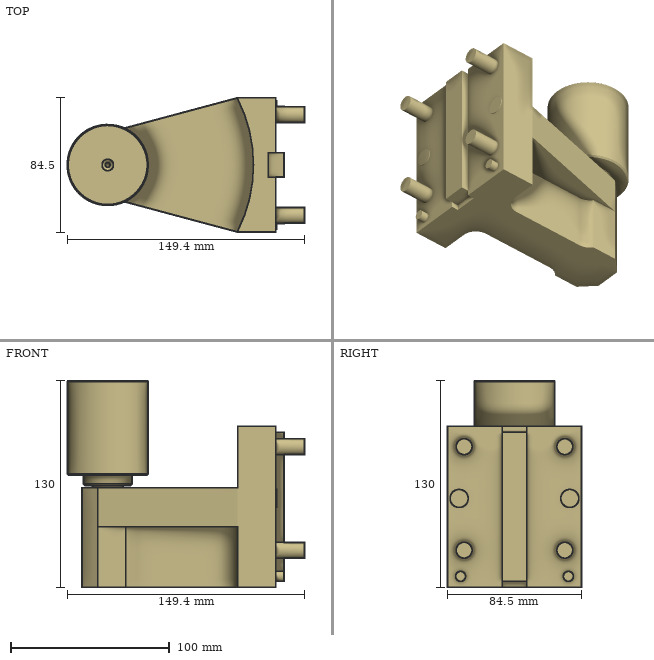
import cadquery as cq
import math

overall_length = 149.4
overall_height = 130.0

plate_width = 84.5
plate_front_x = 107.3
plate_back_x = 131.3
plate_height = 101.3
recess_radius = 91.7

arm_front_x = 9.3
arm_top_z = 62.7
arm_underside_z = 38.0
arm_flare_angle = 15.0
foot_back_x = 36.9
foot_half_width = 18.7
foot_chamfer = 9.9

web_half_width = 14.6
web_fillet = 10.0

knob_diameter = 51.0
knob_radius = knob_diameter / 2
knob_axis_x = knob_radius
knob_bottom_z = 70.4
knob_top_chamfer = 0.6
knob_bottom_chamfer = 1.0
collar_diameter = 30.6
collar_radius = collar_diameter / 2
collar_bottom_z = 63.8
collar_chamfer = 1.2
neck_radius = 9.7

centre_mouth_radius = 3.6
centre_bore_radius = 1.5
centre_bore_depth = 7.5
centre_mouth_curve = 4.2
drill_half_angle = 59.0

key_width = 15.4
key_front_x = 126.5
key_back_x = 136.4
key_end_gap = 3.7

pin_diameter = 10.0
pin_offset_y = 31.7
pin_heights = (23.3, 88.5)
dowel_radius = 3.1
dowel_offset_y = 33.9
dowel_z = 6.9
pad_radius = 5.7
pad_offset_y = 34.8
pad_z = 55.9
pad_thickness = 0.5


def box(x_start, x_end, width, z_start, z_end):
    """Block centred on Y = 0."""
    return (
        cq.Workplane("XY")
        .box(x_end - x_start, width, z_end - z_start, centered=(False, True, False))
        .translate((x_start, 0, z_start))
    )


def back_cylinder(radius, y, z, end_x):
    """Cylinder along X, from the back of the plate to end_x."""
    return (
        cq.Workplane("YZ", origin=(plate_back_x, y, z))
        .circle(radius)
        .extrude(end_x - plate_back_x)
    )


def make_plate():
    plate = box(plate_front_x, plate_back_x, plate_width, 0, plate_height)
    recess = (
        cq.Workplane("XY", origin=(knob_axis_x, 0, arm_top_z))
        .circle(recess_radius)
        .extrude(plate_height - arm_top_z)
    )
    slot = box(key_front_x, plate_back_x, key_width, 0, plate_height)
    key = box(key_front_x, key_back_x, key_width, key_end_gap, plate_height - key_end_gap)
    return plate.cut(recess).cut(slot).union(key)


def make_arm():
    shoulder_x = arm_front_x + foot_chamfer
    nose_half_width = foot_half_width - foot_chamfer
    flare = (plate_front_x - shoulder_x) * math.tan(math.radians(arm_flare_angle))
    root_half_width = min(foot_half_width + flare, plate_width / 2)
    return (
        cq.Workplane("XY", origin=(0, 0, arm_underside_z))
        .moveTo(arm_front_x, -nose_half_width)
        .lineTo(shoulder_x, -foot_half_width)
        .lineTo(plate_front_x, -root_half_width)
        .lineTo(plate_front_x, root_half_width)
        .lineTo(shoulder_x, foot_half_width)
        .lineTo(arm_front_x, nose_half_width)
        .close()
        .extrude(arm_top_z - arm_underside_z)
    )


def make_support():
    """Foot and web below the arm, hollowed on both sides by round-cornered pockets."""
    foot = (
        box(arm_front_x, plate_front_x, 2 * foot_half_width, 0, arm_underside_z)
        .edges("|Z and <X")
        .chamfer(foot_chamfer)
    )
    root_width = 2 * (web_half_width + web_fillet)
    root = box(plate_front_x - web_fillet, plate_front_x, root_width, 0, arm_underside_z)
    support = foot.union(root)

    fillet_centre_y = web_half_width + web_fillet
    arc_run = math.sqrt(web_fillet**2 - (fillet_centre_y - foot_half_width) ** 2)
    pocket_front_x = foot_back_x + arc_run - web_fillet
    pocket_depth = plate_width / 2
    for side in (-1, 1):
        pocket = (
            box(pocket_front_x, plate_front_x, pocket_depth, 0, arm_underside_z)
            .edges("|Z and >Y" if side < 0 else "|Z and <Y")
            .fillet(web_fillet)
            .translate((0, side * (web_half_width + pocket_depth / 2), 0))
        )
        support = support.cut(pocket)
    return support


def make_knob():
    curve_centre_x = centre_bore_radius + centre_mouth_curve
    mouth_depth = math.sqrt(centre_mouth_curve**2 - (curve_centre_x - centre_mouth_radius) ** 2)
    tip_depth = centre_bore_radius / math.tan(math.radians(drill_half_angle))
    bore_bottom_z = overall_height - centre_bore_depth
    knob = (
        cq.Workplane("XZ")
        .moveTo(0, arm_top_z)
        .lineTo(neck_radius, arm_top_z)
        .lineTo(neck_radius, collar_bottom_z)
        .lineTo(collar_radius - collar_chamfer, collar_bottom_z)
        .lineTo(collar_radius, collar_bottom_z + collar_chamfer)
        .lineTo(collar_radius, knob_bottom_z)
        .lineTo(knob_radius - knob_bottom_chamfer, knob_bottom_z)
        .lineTo(knob_radius, knob_bottom_z + knob_bottom_chamfer)
        .lineTo(knob_radius, overall_height - knob_top_chamfer)
        .lineTo(knob_radius - knob_top_chamfer, overall_height)
        .lineTo(centre_mouth_radius, overall_height)
        .radiusArc((centre_bore_radius, overall_height - mouth_depth), -centre_mouth_curve)
        .lineTo(centre_bore_radius, bore_bottom_z)
        .lineTo(0, bore_bottom_z - tip_depth)
        .close()
        .revolve(360, (0, 0, 0), (0, 1, 0))
    )
    return knob.translate((knob_axis_x, 0, 0))


def make_back_features():
    features = cq.Workplane("XY")
    pad_end_x = plate_back_x + pad_thickness
    for side in (-1, 1):
        for pin_z in pin_heights:
            pin_y = side * pin_offset_y
            features = features.add(back_cylinder(pin_diameter / 2, pin_y, pin_z, overall_length))
        features = features.add(back_cylinder(dowel_radius, side * dowel_offset_y, dowel_z, key_back_x))
        features = features.add(back_cylinder(pad_radius, side * pad_offset_y, pad_z, pad_end_x))
    return features


body = make_plate().union(make_arm()).union(make_support()).union(make_knob())
result = body.union(make_back_features())